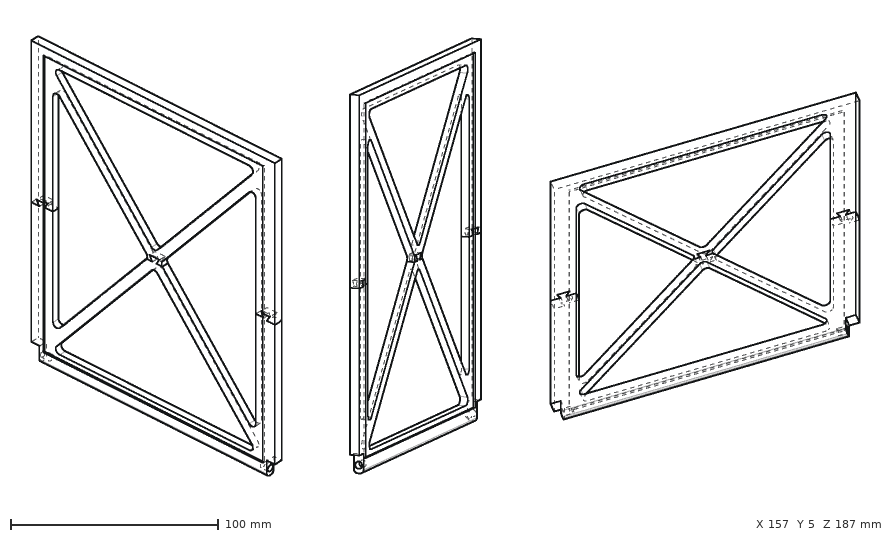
import cadquery as cq
import math

width = 157.0
depth = 5.0
height = 187.0
mid_z = height / 2

tongue_height = 10.0
tongue_inset = 5.2
tongue_radius = 2.0
pivot_diameter = 3.5
pivot_z = 4.1
pivot_depth = 5.0

recess_depth = 1.0
recess_side = 7.9
recess_top = 5.2
recess_bottom = 7.3

window_side = 13.3
window_end = 10.0
strut_width = 6.0
window_radius = 2.5

seam_z = 92.0
tail_height = 3.2
tail_top_width = 6.4
tail_neck_width = 2.8
tail_offset = (width - window_side) / 2

strut_slope = height / width
strut_rise = strut_width / 2 * math.hypot(1, strut_slope)


def plate(points, thickness=depth):
    """Extrude an X-Z outline toward +Y, starting at the front face."""
    return cq.Workplane("XZ", origin=(0, -depth / 2, 0)).polyline(points).close().extrude(-thickness)


def block(x_half, z_low, z_high, thickness=depth):
    """Make a rectangular plate centred on X."""
    corners = [(-x_half, z_low), (x_half, z_low), (x_half, z_high), (-x_half, z_high)]
    return plate(corners, thickness)


def end_window():
    """Make the triangular window above the crossing, with all corners rounded."""
    half_height = height / 2 - window_end
    half_base = (half_height - strut_rise) / strut_slope
    corners = [
        (0, mid_z + strut_rise),
        (half_base, mid_z + half_height),
        (-half_base, mid_z + half_height),
    ]
    return plate(corners).edges("|Y").fillet(window_radius)


def side_window():
    """Make the triangular window to the right of the crossing, with all corners rounded."""
    outer_x = width / 2 - window_side
    outer_rise = strut_slope * outer_x - strut_rise
    corners = [
        (strut_rise / strut_slope, mid_z),
        (outer_x, mid_z - outer_rise),
        (outer_x, mid_z + outer_rise),
    ]
    return plate(corners).edges("|Y").fillet(window_radius)


def pivot_hole(side):
    """Make the blind hole in one end of the tongue; side is -1 or 1."""
    end_x = side * (width / 2 - tongue_inset)
    return (
        cq.Workplane("YZ", origin=(end_x, 0, pivot_z))
        .circle(pivot_diameter / 2)
        .extrude(-side * pivot_depth)
    )


def whole_frame():
    """Make the complete frame before it is split into halves."""
    tongue = block(width / 2 - tongue_inset, 0, tongue_height)
    tongue = tongue.faces("<Z").edges("|X").fillet(tongue_radius)
    frame = block(width / 2, tongue_height, height).union(tongue)
    recess = block(
        width / 2 - recess_side, recess_bottom, height - recess_top, thickness=recess_depth
    )
    frame = frame.cut(recess)
    upper_window = end_window()
    lower_window = upper_window.mirror("XY", (0, 0, mid_z))
    right_window = side_window()
    left_window = right_window.mirror("YZ")
    for window in (upper_window, lower_window, right_window, left_window):
        frame = frame.cut(window)
    for side in (-1, 1):
        frame = frame.cut(pivot_hole(side))
    return frame


def lower_region():
    """Make the space of the lower half: all below the seam, plus three dovetails."""
    region = block(width / 2, 0, seam_z)
    for x in (-tail_offset, 0, tail_offset):
        tail = plate([
            (x - tail_neck_width / 2, seam_z),
            (x + tail_neck_width / 2, seam_z),
            (x + tail_top_width / 2, seam_z + tail_height),
            (x - tail_top_width / 2, seam_z + tail_height),
        ])
        region = region.union(tail)
    return region


frame = whole_frame()
split = lower_region()
lower_half = frame.intersect(split)
upper_half = frame.cut(split)

result = cq.Compound.makeCompound([lower_half.val(), upper_half.val()])